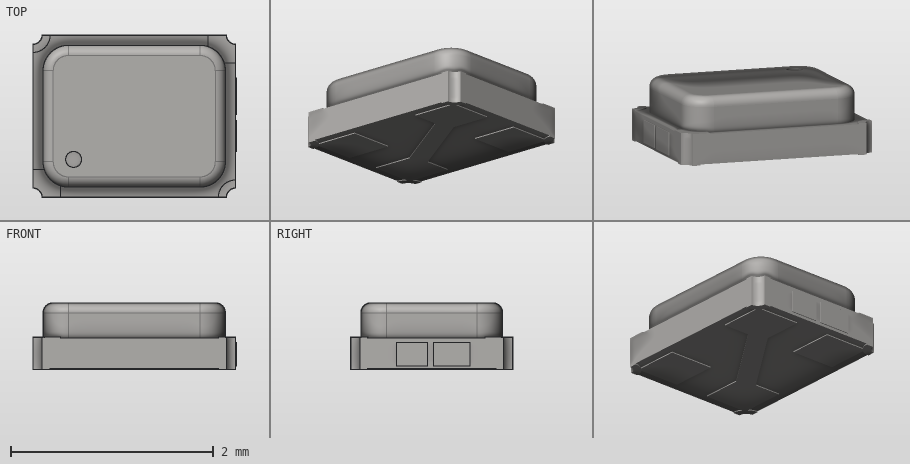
import cadquery as cq
import math

body_length = 2.0
body_width = 1.6
total_height = 0.66

plating = 0.01
shoulder_height = 0.32
notch_radius = 0.09
ring_radius = 0.17
corner_patch = 0.273

lid_inset = 0.1
lid_corner_radius = 0.251
lid_edge_radius = 0.1

dimple_radius = 0.078
dimple_depth = 0.015
dimple_from_left = 0.402
dimple_from_front = 0.374

pad_size = 0.502
pad_inset = 0.1

strip_width = 0.2

panel_thickness = 0.01
panel_bottom = 0.038
panel_top = 0.267
panel_spans = [(-0.35, -0.04), (0.016, 0.378)]

half_length = body_length / 2
half_width = body_width / 2
base_bottom = plating
base_top = shoulder_height - plating
corner_signs = [(-1, -1), (1, -1), (1, 1), (-1, 1)]


def corner_block(sign_x, sign_y, inset, size, bottom):
    """Square plating block, set in from one corner of the body."""
    centre_x = sign_x * (half_length - inset - size / 2)
    centre_y = sign_y * (half_width - inset - size / 2)
    return (
        cq.Workplane("XY", origin=(centre_x, centre_y, bottom))
        .rect(size, size)
        .extrude(plating)
    )


def corner_round(sign_x, sign_y, radius, bottom, height):
    """Upright cylinder centred on one corner of the body."""
    return (
        cq.Workplane("XY", origin=(sign_x * half_length, sign_y * half_width, bottom))
        .circle(radius)
        .extrude(height)
    )


def body_block(bottom, top):
    """Rectangular block with the full body outline."""
    return (
        cq.Workplane("XY", origin=(0, 0, bottom))
        .rect(body_length, body_width)
        .extrude(top - bottom)
    )


def make_pad_strip():
    """Plated strip running between the centres of two opposite solder pads."""
    pad_x = half_length - pad_inset - pad_size / 2
    pad_y = half_width - pad_inset - pad_size / 2
    strip_length = 2 * math.hypot(pad_x, pad_y)
    strip_angle = -math.degrees(math.atan2(pad_y, pad_x))
    return (
        cq.Workplane("XY")
        .rect(strip_length, strip_width)
        .extrude(plating)
        .rotate((0, 0, 0), (0, 0, 1), strip_angle)
    )


def make_base():
    """Base with plated corners above and below and a round notch at each corner."""
    base = body_block(base_bottom, base_top)
    body_limits = body_block(0, shoulder_height)
    for sign_x, sign_y in corner_signs:
        base = base.union(corner_block(sign_x, sign_y, pad_inset, pad_size, 0))
        base = base.union(corner_round(sign_x, sign_y, ring_radius, 0, plating).intersect(body_limits))

        if sign_x == sign_y:
            patch = corner_block(sign_x, sign_y, 0, corner_patch, base_top)
        else:
            patch = corner_round(sign_x, sign_y, ring_radius, base_top, plating)
        base = base.union(patch.intersect(body_limits))

    base = base.union(make_pad_strip())
    for sign_x, sign_y in corner_signs:
        base = base.cut(corner_round(sign_x, sign_y, notch_radius, 0, shoulder_height))
    return base


def make_lid():
    """Lid with rounded corners and a rounded top edge."""
    return (
        cq.Workplane("XY", origin=(0, 0, base_top))
        .rect(body_length - 2 * lid_inset, body_width - 2 * lid_inset)
        .extrude(total_height - base_top)
        .edges("|Z")
        .fillet(lid_corner_radius)
        .faces(">Z")
        .edges()
        .fillet(lid_edge_radius)
    )


def make_dimple():
    """Cutter for the shallow round mark near the front left corner."""
    dimple_x = dimple_from_left - half_length
    dimple_y = dimple_from_front - half_width
    return (
        cq.Workplane("XY", origin=(dimple_x, dimple_y, total_height - dimple_depth))
        .circle(dimple_radius)
        .extrude(dimple_depth)
    )


def make_panel(start_y, end_y):
    """Thin raised panel on the +X face."""
    return cq.Workplane("XY").box(
        panel_thickness, end_y - start_y, panel_top - panel_bottom, centered=False
    ).translate((half_length, start_y, panel_bottom))


result = make_base().union(make_lid()).cut(make_dimple())
for start_y, end_y in panel_spans:
    result = result.union(make_panel(start_y, end_y))